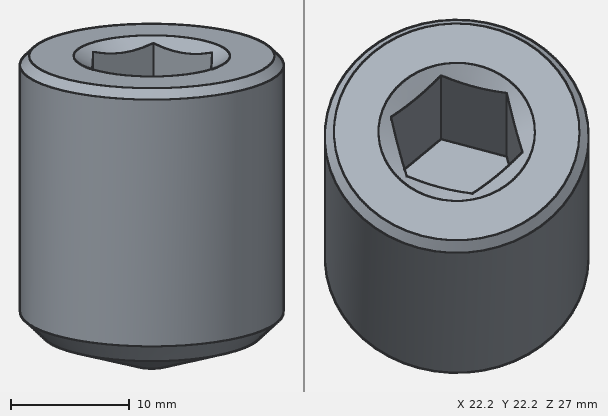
import cadquery as cq
import math

length = 26.97
body_diameter = 22.22
top_chamfer = 0.78

bevel_height = 4.67
cone_height = 2.89
cone_diameter = 18.6
tip_diameter = 2.9
tip_dome_height = 0.08

socket_width = 10.0
socket_depth = 11.87
lead_in_diameter = 13.15
lead_in_angle = 30.0


def make_body():
    """Revolve the half profile about Z, with the tip at Z = 0."""
    body_radius = body_diameter / 2
    tip_radius = tip_diameter / 2
    dome_radius = (tip_radius**2 + tip_dome_height**2) / (2 * tip_dome_height)
    dome_middle_radius = tip_radius / 2
    dome_middle_height = dome_radius - math.sqrt(dome_radius**2 - dome_middle_radius**2)
    return (
        cq.Workplane("XZ")
        .moveTo(0, 0)
        .threePointArc((dome_middle_radius, dome_middle_height), (tip_radius, tip_dome_height))
        .lineTo(cone_diameter / 2, cone_height)
        .lineTo(body_radius, bevel_height)
        .lineTo(body_radius, length - top_chamfer)
        .lineTo(body_radius - top_chamfer, length)
        .lineTo(0, length)
        .close()
        .revolve(360, (0, 0, 0), (0, 1, 0))
    )


def make_socket():
    """Hexagonal prism with two flats facing +X and -X."""
    corner_diameter = socket_width / math.cos(math.radians(30))
    return (
        cq.Workplane("XY")
        .workplane(offset=length - socket_depth)
        .transformed(rotate=(0, 0, 30))
        .polygon(6, corner_diameter)
        .extrude(socket_depth)
    )


def make_lead_in():
    """Cone that opens the socket mouth, narrowing to the hexagon flats."""
    mouth_radius = lead_in_diameter / 2
    floor_radius = socket_width / 2
    depth = (mouth_radius - floor_radius) * math.tan(math.radians(lead_in_angle))
    return cq.Workplane("XY").add(
        cq.Solid.makeCone(
            floor_radius, mouth_radius, depth, pnt=cq.Vector(0, 0, length - depth)
        )
    )


result = make_body().cut(make_socket()).cut(make_lead_in())